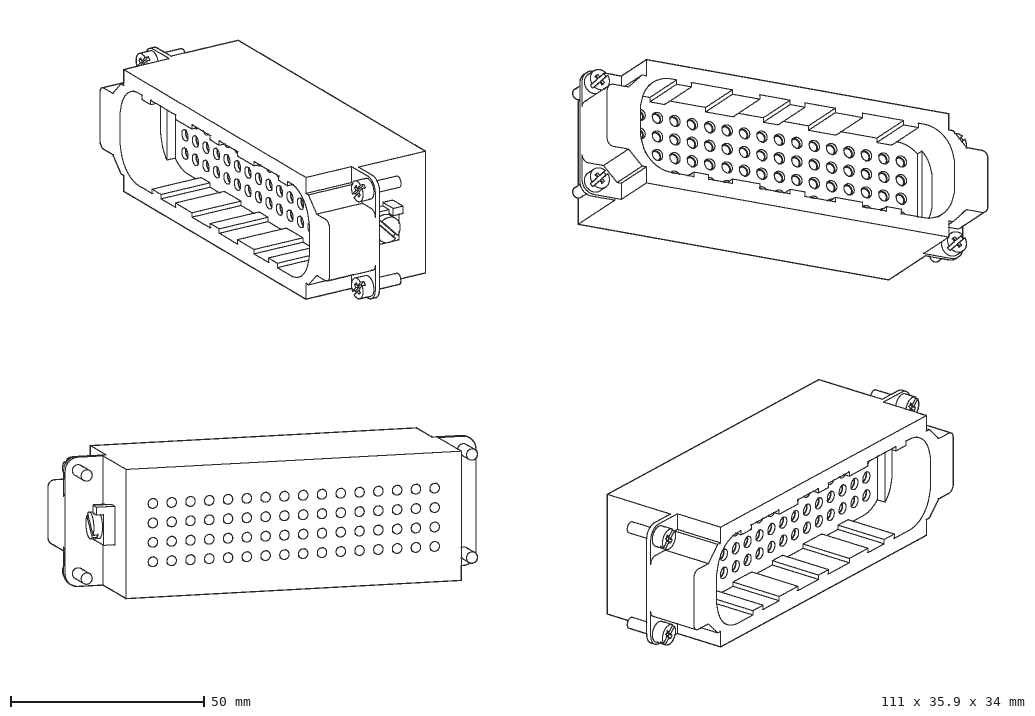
import cadquery as cq

LENGTH = 111.0
DEPTH = 35.9
HEIGHT = 34.0

REAR_HALF_WIDTH = 45.3
FRONT_HALF_WIDTH = 44.1
FLANGE_FRONT = 14.0
FLANGE_THICKNESS = 1.3
FLANGE_RADIUS = 3.4

EAR_ROOT_HALF_HEIGHT = 12.5
EAR_TIP_HALF_HEIGHT = 8.5
EAR_SLOPE_START = REAR_HALF_WIDTH
EAR_SLOPE_END = EAR_SLOPE_START + EAR_ROOT_HALF_HEIGHT - EAR_TIP_HALF_HEIGHT
EAR_RADIUS = 1.9

CAVITY_HALF_WIDTH = 45.7
CAVITY_HALF_HEIGHT = 12.9
CAVITY_RADIUS = 8.8
CAVITY_ARC_X = 36.7
CAVITY_SIDE_HALF_HEIGHT = 4.3
CAVITY_BEVEL_TOP = 6.5
CAVITY_DEPTH = 15.0
INSERT_HALF_WIDTH = 42.7
LEDGE_HEIGHT = 2.5

RIB_HEIGHT = 1.2
NARROW_RIB = 4.3
WIDE_RIB = 8.0
WIDE_RIB_X = 15.0
TOP_RIB_X = 33.1
BOTTOM_RIB_X = 28.1

HOLE_COLUMNS = 16
HOLE_ROWS = 4
HOLE_SPAN_X = 76.1
HOLE_SPAN_Z = 15.3
HOLE_DIAMETER = 2.5
HOLE_MOUTH_DIAMETER = 3.0
HOLE_MOUTH_DEPTH = 1.1

SCREW_X = LENGTH / 2 - FLANGE_RADIUS
SCREW_Z = HEIGHT / 2 - FLANGE_RADIUS
SCREW_HEAD_DIAMETER = 5.5
SCREW_HEAD_HEIGHT = 3.3
SCREW_SHANK_DIAMETER = 3.0
SCREW_END = 23.1
SLOT_WIDTH = 1.0
SLOT_DEPTH = 1.0
CROSS_LENGTH = 2.8
SLOT_ANGLE = 45

TERMINAL_Y = 21.2
TERMINAL_SIZE = 9.1
TERMINAL_THICKNESS = 3.0
TERMINAL_HEAD_DIAMETER = 7.0
TERMINAL_HEAD_HEIGHT = 2.3
TERMINAL_SLOT_DEPTH = 1.3
LIP_WIDTH = 3.0
LIP_REACH = 5.0
LIP_TOP = 5.5


def box(x_min, x_max, y_min, y_max, z_min, z_max):
    """Box given by its limits along each axis."""
    size = (x_max - x_min, y_max - y_min, z_max - z_min)
    return cq.Workplane("XY").box(*size, centered=False).translate((x_min, y_min, z_min))


def plane_at(y):
    """XZ workplane at the given Y; positive extrusion runs toward +Y."""
    return cq.Workplane(cq.Plane(origin=(0, y, 0), xDir=(-1, 0, 0), normal=(0, 1, 0)))


def make_housing():
    """Solid body, mounting flange and the two stepped ears."""
    rear = box(-REAR_HALF_WIDTH, REAR_HALF_WIDTH, FLANGE_FRONT, DEPTH, -HEIGHT / 2, HEIGHT / 2)
    front = box(-FRONT_HALF_WIDTH, FRONT_HALF_WIDTH, 0, FLANGE_FRONT, -HEIGHT / 2, HEIGHT / 2)
    flange = plane_at(FLANGE_FRONT).rect(LENGTH, HEIGHT).extrude(FLANGE_THICKNESS)
    flange = flange.edges("|Y").fillet(FLANGE_RADIUS)
    upper_edge = [
        (-LENGTH / 2, EAR_TIP_HALF_HEIGHT),
        (-EAR_SLOPE_END, EAR_TIP_HALF_HEIGHT),
        (-EAR_SLOPE_START, EAR_ROOT_HALF_HEIGHT),
        (EAR_SLOPE_START, EAR_ROOT_HALF_HEIGHT),
        (EAR_SLOPE_END, EAR_TIP_HALF_HEIGHT),
        (LENGTH / 2, EAR_TIP_HALF_HEIGHT),
    ]
    lower_edge = [(x, -z) for x, z in reversed(upper_edge)]
    ears = plane_at(0).polyline(upper_edge + lower_edge).close().extrude(FLANGE_FRONT)
    ears = ears.edges("|Y and (<X or >X)").fillet(EAR_RADIUS)
    return rear.union(front).union(flange).union(ears)


def make_cavity():
    """Volume removed from the mating face: rounded pocket less its ribs and end ledges."""
    arc_z = CAVITY_HALF_HEIGHT - CAVITY_RADIUS
    bevel_x = CAVITY_ARC_X + (CAVITY_RADIUS**2 - (CAVITY_BEVEL_TOP - arc_z) ** 2) ** 0.5
    quarter = (
        plane_at(0)
        .lineTo(0, CAVITY_HALF_HEIGHT)
        .lineTo(CAVITY_ARC_X, CAVITY_HALF_HEIGHT)
        .tangentArcPoint((bevel_x, CAVITY_BEVEL_TOP), relative=False)
        .lineTo(CAVITY_HALF_WIDTH, CAVITY_SIDE_HALF_HEIGHT)
        .lineTo(CAVITY_HALF_WIDTH, 0)
        .close()
        .extrude(CAVITY_DEPTH)
    )
    half = quarter.union(quarter.mirror("YZ"))
    cavity = half.union(half.mirror("XY"))

    shared_ribs = [(-WIDE_RIB_X, WIDE_RIB), (0, NARROW_RIB), (WIDE_RIB_X, WIDE_RIB)]
    for side, outer_x in ((1, TOP_RIB_X), (-1, BOTTOM_RIB_X)):
        for x, width in shared_ribs + [(-outer_x, NARROW_RIB), (outer_x, NARROW_RIB)]:
            rib_z = side * (CAVITY_HALF_HEIGHT - RIB_HEIGHT / 2)
            rib = plane_at(0).rect(width, RIB_HEIGHT).extrude(CAVITY_DEPTH)
            cavity = cavity.cut(rib.translate((x, 0, rib_z)))

    ledge = box(
        INSERT_HALF_WIDTH, LENGTH / 2,
        CAVITY_DEPTH - LEDGE_HEIGHT, CAVITY_DEPTH,
        -CAVITY_HALF_HEIGHT, CAVITY_HALF_HEIGHT,
    )
    return cavity.cut(ledge).cut(ledge.mirror("YZ"))


def make_contact_holes():
    """Grid of through holes, each with a wider mouth at the cavity floor."""
    pitch_x = HOLE_SPAN_X / (HOLE_COLUMNS - 1)
    pitch_z = HOLE_SPAN_Z / (HOLE_ROWS - 1)
    grid = (pitch_x, pitch_z, HOLE_COLUMNS, HOLE_ROWS)
    floor = plane_at(CAVITY_DEPTH)
    bores = floor.rarray(*grid).circle(HOLE_DIAMETER / 2).extrude(DEPTH - CAVITY_DEPTH)
    mouths = floor.rarray(*grid).circle(HOLE_MOUTH_DIAMETER / 2).extrude(HOLE_MOUTH_DEPTH)
    return bores.union(mouths)


def make_screw():
    """Mounting screw on the Y axis: cross-recessed head with one slot across the rim."""
    head_front = FLANGE_FRONT - SCREW_HEAD_HEIGHT
    face = plane_at(head_front)
    head = face.circle(SCREW_HEAD_DIAMETER / 2).extrude(SCREW_HEAD_HEIGHT)
    shank = plane_at(FLANGE_FRONT).circle(SCREW_SHANK_DIAMETER / 2).extrude(SCREW_END - FLANGE_FRONT)
    slot = face.rect(2 * SCREW_HEAD_DIAMETER, SLOT_WIDTH).extrude(SLOT_DEPTH)
    cross = face.rect(SLOT_WIDTH, CROSS_LENGTH).extrude(SLOT_DEPTH)
    recess = slot.union(cross).rotate((0, 0, 0), (0, 1, 0), -SLOT_ANGLE)
    return head.cut(recess).union(shank)


def make_terminal():
    """Earth terminal: square block, slotted screw head and a lip above the head."""
    half = TERMINAL_SIZE / 2
    block_end = REAR_HALF_WIDTH + TERMINAL_THICKNESS
    y_min = TERMINAL_Y - half
    y_max = TERMINAL_Y + half
    block = box(REAR_HALF_WIDTH, block_end, y_min, y_max, -half, half)
    lip = box(
        REAR_HALF_WIDTH, REAR_HALF_WIDTH + LIP_REACH,
        y_max - LIP_WIDTH, y_max,
        TERMINAL_HEAD_DIAMETER / 2, LIP_TOP,
    )
    head = cq.Workplane("YZ").circle(TERMINAL_HEAD_DIAMETER / 2).extrude(TERMINAL_HEAD_HEIGHT)
    slot = (
        cq.Workplane("YZ", origin=(TERMINAL_HEAD_HEIGHT, 0, 0))
        .rect(2 * TERMINAL_HEAD_DIAMETER, SLOT_WIDTH)
        .extrude(-TERMINAL_SLOT_DEPTH)
        .rotate((0, 0, 0), (1, 0, 0), -SLOT_ANGLE)
    )
    head = head.cut(slot).translate((block_end, TERMINAL_Y, 0))
    return block.union(lip).union(head)


result = make_housing().cut(make_cavity()).cut(make_contact_holes())
for screw_x in (-SCREW_X, SCREW_X):
    for screw_z in (-SCREW_Z, SCREW_Z):
        result = result.union(make_screw().translate((screw_x, 0, screw_z)))
result = result.union(make_terminal())